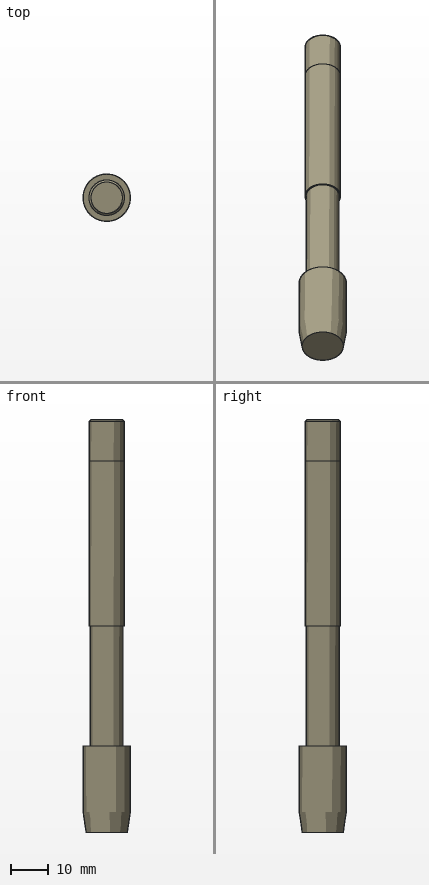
import cadquery as cq

total_length = 110.0
tip_length = 11.0
thick_shaft_length = 44.0
collar_height = 23.1
taper_height = 5.5

collar_diameter = 12.6
collar_end_diameter = 11.0
thick_shaft_diameter = 9.5
thin_shaft_diameter = 8.8

chamfer_width = 0.5
chamfer_height = 0.4

bottom_z = -total_length / 2
taper_top_z = bottom_z + taper_height
collar_top_z = bottom_z + collar_height
tip_bottom_z = bottom_z + total_length - tip_length
shaft_step_z = tip_bottom_z - thick_shaft_length
top_z = bottom_z + total_length


def revolve_about_z(outline):
    """Turn a closed (radius, z) outline a full circle about the Z axis."""
    return cq.Workplane("XZ").polyline(outline).close().revolve(360, (0, 0), (0, 1))


def make_stem():
    """Stepped shaft with a tapered collar at its lower end."""
    collar_radius = collar_diameter / 2
    thin_radius = thin_shaft_diameter / 2
    thick_radius = thick_shaft_diameter / 2
    return revolve_about_z([
        (0, bottom_z),
        (collar_end_diameter / 2, bottom_z),
        (collar_radius, taper_top_z),
        (collar_radius, collar_top_z),
        (thin_radius, collar_top_z),
        (thin_radius, shaft_step_z),
        (thick_radius, shaft_step_z),
        (thick_radius, tip_bottom_z),
        (0, tip_bottom_z),
    ])


def make_tip():
    """Chamfered cylinder that stands flush on the upper end of the stem."""
    tip_radius = thick_shaft_diameter / 2
    return revolve_about_z([
        (0, tip_bottom_z),
        (tip_radius, tip_bottom_z),
        (tip_radius, top_z - chamfer_height),
        (tip_radius - chamfer_width, top_z),
        (0, top_z),
    ])


stem = make_stem()
tip = make_tip()

result = cq.Compound.makeCompound([stem.val(), tip.val()])